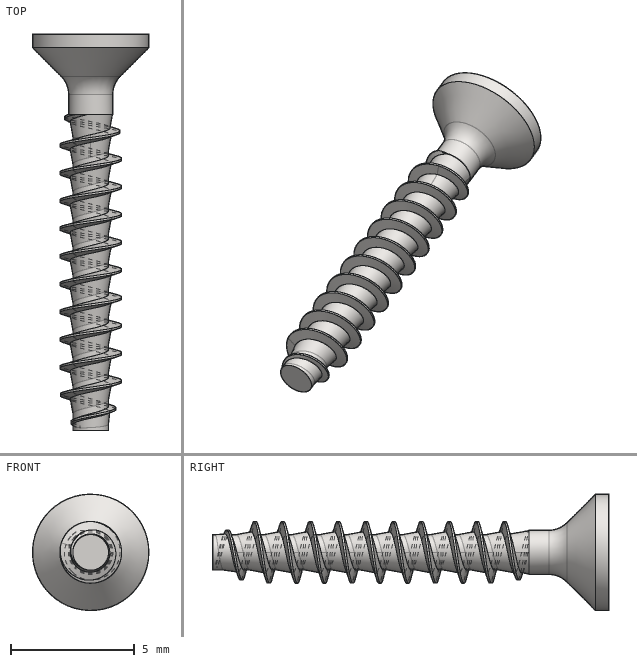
import cadquery as cq
import math

length = 16.0
head_radius = 2.35
head_rim = 0.55
cone_angle = math.radians(45)
shank_radius = 0.9
neck_fillet = 1.02
shank_end = 3.23
neck_cone_radius = 0.88
neck_cone_end = 4.16
core_radius = 0.72

pitch = 1.12
crest_radius = 1.25
first_crest_radius = 1.0
last_crest_radius = 0.74
crest_half_width = 0.04
foot_half_width = 0.16
tail_half_width = 0.06
ramp_high_radius = 0.83
ramp_gap = 0.03
last_ramp_radius = 0.7
buried_radius = 0.69
thread_start = 3.09
start_angle = 90.0
lead_in_turns = 1.0
full_turns = 9.2
tail_turns = 1.2


def make_body():
    """Revolve the head, 45 degree countersink, filleted neck, shank and core."""
    cone_corner = head_rim + head_radius - shank_radius
    tangent = neck_fillet * math.tan(cone_angle / 2)
    diagonal = tangent * math.cos(cone_angle)
    fillet_end = cone_corner + tangent
    arc_mid = (
        shank_radius + neck_fillet * (1 - math.cos(cone_angle / 2)),
        fillet_end - neck_fillet * math.sin(cone_angle / 2),
    )
    return (
        cq.Workplane("XZ")
        .lineTo(head_radius, 0)
        .lineTo(head_radius, head_rim)
        .lineTo(shank_radius + diagonal, cone_corner - diagonal)
        .threePointArc(arc_mid, (shank_radius, fillet_end))
        .lineTo(shank_radius, shank_end)
        .lineTo(neck_cone_radius, shank_end)
        .lineTo(core_radius, neck_cone_end)
        .lineTo(core_radius, length)
        .lineTo(0, length)
        .close()
        .revolve(360, (0, 0, 0), (0, 1, 0))
    )


def thread_section(crest, foot_half, ramp_high):
    """Corners of one turn as (radius, offset along the axis) pairs."""
    ramp_end = pitch - foot_half_width - ramp_gap
    return [
        (buried_radius, -foot_half),
        (crest, -crest_half_width),
        (crest, crest_half_width),
        (ramp_high, foot_half),
        (buried_radius, ramp_end),
    ]


def helical_edge(start, end, turns):
    """Helix whose radius and height change evenly from one section corner to another."""
    rise = turns * pitch + end[1] - start[1]
    growth = end[0] - start[0]
    if growth == 0:
        helix = cq.Wire.makeHelix(rise / turns, rise, start[0])
    else:
        slant = math.hypot(rise, growth)
        taper = math.degrees(math.atan2(growth, rise))
        helix = cq.Wire.makeHelix(slant / turns, slant, start[0], angle=taper)
    return helix.Edges()[0].translate(cq.Vector(0, 0, start[1]))


def helical_segment(start_section, end_section, turns, depth, angle):
    """Solid winding from one section to another, starting at a depth and angle."""
    edges = [helical_edge(a, b, turns) for a, b in zip(start_section, end_section)]
    next_edges = edges[1:] + edges[:1]
    faces = [cq.Face.makeRuledSurface(a, b) for a, b in zip(edges, next_edges)]
    for get_end in (cq.Edge.startPoint, cq.Edge.endPoint):
        outline = cq.Wire.makePolygon([get_end(edge) for edge in edges], close=True)
        faces.append(cq.Face.makeFromWires(outline))
    solid = cq.Solid.makeSolid(cq.Shell.makeShell(faces))
    solid = cq.Workplane(solid.fix())
    return solid.rotate((0, 0, 0), (0, 0, 1), angle).translate((0, 0, depth))


def add_thread(body):
    """Join the lead-in, full and tail stretches, cut off at the shank and tip."""
    first = thread_section(first_crest_radius, foot_half_width, ramp_high_radius)
    full = thread_section(crest_radius, foot_half_width, ramp_high_radius)
    last = thread_section(last_crest_radius, tail_half_width, last_ramp_radius)
    stretches = [
        (first, full, lead_in_turns),
        (full, full, full_turns),
        (full, last, tail_turns),
    ]
    threaded_zone = (
        cq.Workplane("XY", origin=(0, 0, shank_end))
        .circle(head_radius)
        .extrude(length - shank_end)
    )
    turns_done = 0.0
    for start_section, end_section, turns in stretches:
        depth = thread_start + turns_done * pitch
        angle = start_angle + turns_done * 360
        segment = helical_segment(start_section, end_section, turns, depth, angle)
        body = body.union(segment.intersect(threaded_zone))
        turns_done += turns
    return body


screw = add_thread(make_body())
result = screw.rotate((0, 0, 0), (1, 0, 0), 90)